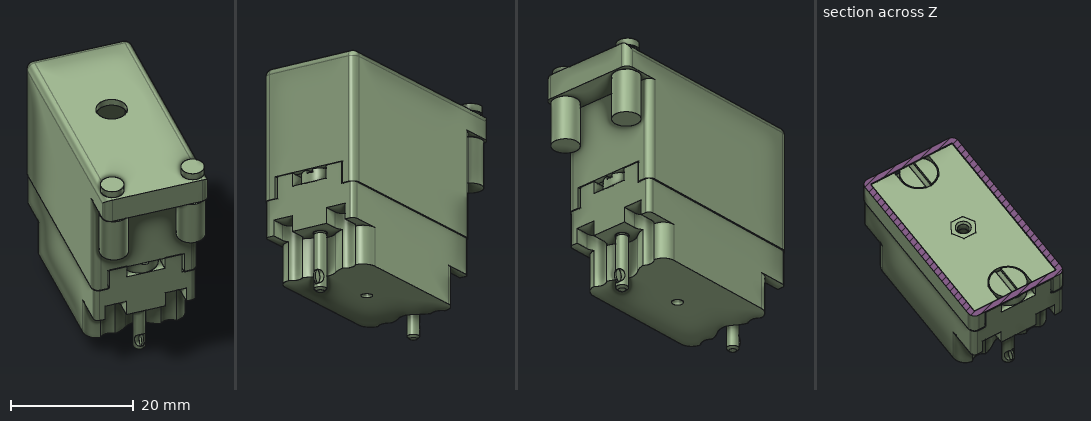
import cadquery as cq
import math


COVER_LENGTH = 33.66
COVER_WIDTH = 18.16
COVER_HEIGHT = 23.13
OVERALL_LENGTH = 39.12
FLANGE_THICKNESS = 4.45
EDGE_RADIUS = 1.27
WALL = 1.2
TOP_HOLE_DIAMETER = 5.1
FLANGE_END = OVERALL_LENGTH - COVER_LENGTH / 2
CAVITY_LENGTH = COVER_LENGTH - 2 * WALL
CAVITY_WIDTH = COVER_WIDTH - 2 * WALL

BASE_INSET_X = 0.17
BASE_INSET_Y = 0.25
BASE_LENGTH = COVER_LENGTH - 2 * BASE_INSET_X
BASE_WIDTH = COVER_WIDTH - 2 * BASE_INSET_Y
BASE_CORNER_RADIUS = 0.85
PLUG_TOP = 3.81
SHOULDER_Z = -6.35
BASE_BOTTOM = -13.1
TAB_WIDTH = 12.6
TAB_GAP = 0.33
NOTCH_WIDTH = TAB_WIDTH + 2 * TAB_GAP
BLOCK_SETBACK = 3.84
BLOCK_END = COVER_LENGTH / 2 - BLOCK_SETBACK
BLOCK_CORNER_RADIUS = 2.35

SCALLOP_Y = 5.2
SCALLOP_RADIUS = 1.83
SCALLOP_TOP = -3.6
SCALLOP_X = BLOCK_END + 1.2
LOBE_RADIUS = 5.4
RECESS_RADIUS = 2.93

PIN_X = COVER_LENGTH / 2 - 3.34
PIN_DIAMETER = 2.1
PIN_BOTTOM = -16.46
PIN_CHAMFER = 0.4
COLLAR_FLARE = 0.12
COLLAR_HEIGHT = 0.3
HEAD_RADIUS = 3.1
HEAD_FLOOR = 1.54
HEAD_POCKET_RADIUS = 3.3
DRIVER_SLOT_WIDTH = 1.1
DRIVER_SLOT_DEPTH = 0.56
LENS_Z = -14.25
LENS_HEIGHT = 2.5
LENS_WIDTH = 1.3
LENS_THICKNESS = 0.35

NUT_ACROSS_FLATS = 3.97
NUT_HEIGHT = 1.6
NUT_BORE = 1.9
NUT_COUNTERSINK = 2.6

SCREW_Y = 6.97
SCREW_HEAD_DIAMETER = 3.85
SCREW_HEAD_HEIGHT = 1.25
SCREW_SHANK_DIAMETER = 3.3
BARREL_RADIUS = 2.41
SCREW_X = FLANGE_END - BARREL_RADIUS
BARREL_Y = COVER_WIDTH / 2 - BARREL_RADIUS
BARREL_GAP = 0.3
BARREL_LENGTH = 8.0
FLANGE_BOTTOM = COVER_HEIGHT - FLANGE_THICKNESS

SIDES = (-1, 1)


def block(x_min, x_max, width, z_min, z_max):
    """Box between two X planes and two Z planes, centred on Y."""
    size = (x_max - x_min, width, z_max - z_min)
    return cq.Workplane("XY").box(*size, centered=(False, True, False)).translate((x_min, 0, z_min))


def post(x, y, radius, z_min, z_max):
    """Upright cylinder between two Z planes."""
    return cq.Workplane("XY").circle(radius).extrude(z_max - z_min).translate((x, y, z_min))


def at_end(shape, side):
    """Turn a shape made for the +X end to the end given by side."""
    return shape if side > 0 else shape.rotate((0, 0, 0), (0, 0, 1), 180)


def make_corner_waste(x_end, z_min, z_max):
    """Material outside the two rounded upright corners of a wall that ends at x_end."""
    square = block(0, x_end, COVER_WIDTH, z_min, z_max)
    return square.cut(square.edges("|Z and >X").fillet(EDGE_RADIUS))


def make_cover():
    half = COVER_LENGTH / 2
    cover = block(-half, half, COVER_WIDTH, 0, COVER_HEIGHT)
    cover = cover.union(block(-half, FLANGE_END, COVER_WIDTH, FLANGE_BOTTOM, COVER_HEIGHT))
    cover = cover.edges("|Z and <X").fillet(EDGE_RADIUS)
    cover = cover.faces(">Z").edges("not >X").fillet(EDGE_RADIUS)
    cover = cover.cut(make_corner_waste(half, 0, FLANGE_BOTTOM))
    cover = cover.cut(make_corner_waste(FLANGE_END, FLANGE_BOTTOM, COVER_HEIGHT))
    cover = cover.cut(block(-CAVITY_LENGTH / 2, CAVITY_LENGTH / 2, CAVITY_WIDTH, 0, COVER_HEIGHT - WALL))
    cover = cover.cut(block(-half, half, NOTCH_WIDTH, 0, PLUG_TOP))
    cover = cover.cut(post(0, 0, TOP_HOLE_DIAMETER / 2, 0, COVER_HEIGHT))
    for side in SIDES:
        cover = cover.cut(make_screw(side))
    return cover


def make_end_recess():
    """Central hollow of the block end: a concave arc blending into a convex lobe on each side."""
    blend_angle = math.asin(SCALLOP_Y / (LOBE_RADIUS + RECESS_RADIUS))
    lobe_x = BLOCK_END - LOBE_RADIUS
    recess_x = lobe_x + (LOBE_RADIUS + RECESS_RADIUS) * math.cos(blend_angle)

    def on_lobe(angle):
        return (lobe_x + LOBE_RADIUS * math.cos(angle), SCALLOP_Y - LOBE_RADIUS * math.sin(angle))

    blend_x, blend_y = on_lobe(blend_angle)
    mid_x, mid_y = on_lobe(blend_angle / 2)
    outline = (
        cq.Workplane("XY")
        .moveTo(BLOCK_END, SCALLOP_Y)
        .threePointArc((mid_x, mid_y), (blend_x, blend_y))
        .threePointArc((recess_x - RECESS_RADIUS, 0), (blend_x, -blend_y))
        .threePointArc((mid_x, -mid_y), (BLOCK_END, -SCALLOP_Y))
        .close()
    )
    return outline.extrude(SHOULDER_Z - BASE_BOTTOM).translate((0, 0, BASE_BOTTOM))


def make_scallop(y):
    """Round-ended channel, open at the end wall and at the bottom."""
    channel = block(SCALLOP_X, COVER_LENGTH / 2, 2 * SCALLOP_RADIUS, BASE_BOTTOM, SCALLOP_TOP)
    return channel.translate((0, y, 0)).union(post(SCALLOP_X, y, SCALLOP_RADIUS, BASE_BOTTOM, SCALLOP_TOP))


def make_head_pocket():
    """Round-ended pocket for a pin head, open at the end wall and at the top."""
    pocket = block(PIN_X, COVER_LENGTH / 2, 2 * HEAD_POCKET_RADIUS, HEAD_FLOOR, PLUG_TOP)
    return pocket.union(post(PIN_X, 0, HEAD_POCKET_RADIUS, HEAD_FLOOR, PLUG_TOP))


def make_base():
    half = BASE_LENGTH / 2
    base = block(-half, half, BASE_WIDTH, SHOULDER_Z, 0).edges("|Z").fillet(BASE_CORNER_RADIUS)
    plug = block(-CAVITY_LENGTH / 2, CAVITY_LENGTH / 2, CAVITY_WIDTH, 0, PLUG_TOP)
    tabs = block(-half, half, TAB_WIDTH, 0, PLUG_TOP)
    lower = block(-BLOCK_END, BLOCK_END, BASE_WIDTH, BASE_BOTTOM, SHOULDER_Z)
    lower = lower.edges("|Z").fillet(BLOCK_CORNER_RADIUS)
    for side in SIDES:
        lower = lower.cut(at_end(make_end_recess(), side))
    base = base.union(plug).union(tabs).union(lower)
    for side in SIDES:
        for y in (-SCALLOP_Y, SCALLOP_Y):
            base = base.cut(at_end(make_scallop(y), side))
        base = base.cut(at_end(make_head_pocket(), side))
        base = base.cut(post(side * PIN_X, 0, PIN_DIAMETER / 2, SHOULDER_Z, HEAD_FLOOR))
    base = base.cut(make_nut_blank())
    return base.cut(post(0, 0, NUT_BORE / 2, BASE_BOTTOM, PLUG_TOP))


def make_pin(side):
    """Contact pin with a slotted head and a thin lens-shaped rib in a hollow near its tip."""
    radius = PIN_DIAMETER / 2
    pin = post(PIN_X, 0, radius, PIN_BOTTOM, HEAD_FLOOR).faces("<Z").chamfer(PIN_CHAMFER)
    collar = cq.Solid.makeCone(
        radius, radius + COLLAR_FLARE, COLLAR_HEIGHT, pnt=cq.Vector(PIN_X, 0, SHOULDER_Z - COLLAR_HEIGHT)
    )
    pin = pin.union(cq.Workplane(collar))
    head = post(PIN_X, 0, HEAD_RADIUS, HEAD_FLOOR, PLUG_TOP)
    slot_floor = PLUG_TOP - DRIVER_SLOT_DEPTH
    slot = block(PIN_X - HEAD_RADIUS, PIN_X + HEAD_RADIUS, DRIVER_SLOT_WIDTH, slot_floor, PLUG_TOP)
    pin = pin.union(head.cut(slot))

    arc_radius = (LENS_HEIGHT**2 + LENS_WIDTH**2) / (4 * LENS_WIDTH)
    arc_offset = arc_radius - LENS_WIDTH / 2
    lens_x = PIN_X + radius

    def cross_cylinder(x):
        cylinder = cq.Workplane("XZ").circle(arc_radius).extrude(PIN_DIAMETER, both=True)
        return cylinder.translate((x, 0, LENS_Z))

    hollow = cross_cylinder(lens_x + arc_offset)
    lens = hollow.intersect(cross_cylinder(lens_x - arc_offset))
    rib = lens.intersect(block(PIN_X, PIN_X + PIN_DIAMETER, LENS_THICKNESS, PIN_BOTTOM, SHOULDER_Z))
    return at_end(pin.cut(hollow).union(rib), side)


def make_nut_blank():
    """Hexagonal prism with its corners on the Y axis, flush with the top of the base."""
    corner_diameter = NUT_ACROSS_FLATS / math.cos(math.pi / 6)
    blank = cq.Workplane("XY").polygon(6, corner_diameter).extrude(NUT_HEIGHT)
    return blank.rotate((0, 0, 0), (0, 0, 1), 90).translate((0, 0, PLUG_TOP - NUT_HEIGHT))


def make_nut():
    return make_nut_blank().faces(">Z").workplane().cskHole(NUT_BORE, NUT_COUNTERSINK, 90)


def make_screw(side):
    """Flange screw: head above, shank through the flange, wide barrel below set inward of the shank."""
    y = side * SCREW_Y
    barrel_top = FLANGE_BOTTOM - BARREL_GAP
    head = post(SCREW_X, y, SCREW_HEAD_DIAMETER / 2, COVER_HEIGHT, COVER_HEIGHT + SCREW_HEAD_HEIGHT)
    shank = post(SCREW_X, y, SCREW_SHANK_DIAMETER / 2, barrel_top, COVER_HEIGHT)
    barrel = post(SCREW_X, side * BARREL_Y, BARREL_RADIUS, barrel_top - BARREL_LENGTH, barrel_top)
    return head.union(shank).union(barrel)


cover = make_cover()
base = make_base()
nut = make_nut()
pins = [make_pin(side) for side in SIDES]
screws = [make_screw(side) for side in SIDES]

repeated = [body.val() for body in pins + screws]
result = cq.Compound.makeCompound([cover.val(), base.val(), nut.val(), *repeated])